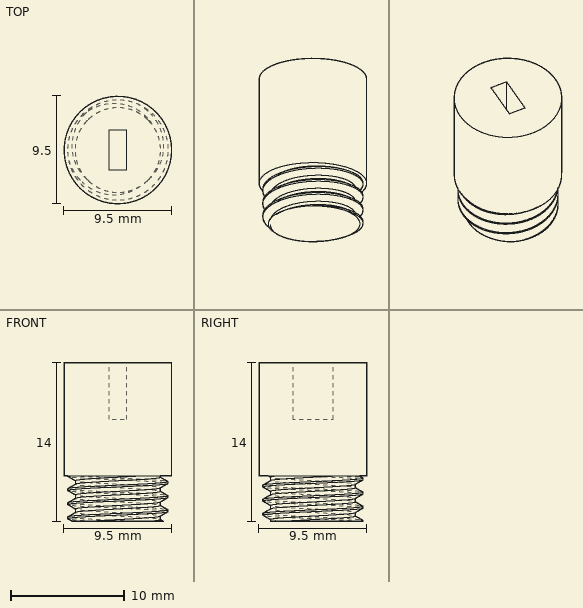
import cadquery as cq
import math

total_height = 14.0
head_diameter = 9.5
thread_height = 4.0
thread_diameter = 8.86
pitch = 1.25
slot_width = 1.54
slot_length = 3.53
slot_depth = 5.0
groove_overrun = 0.07
head_overlap = 0.42

crest_width = pitch / 8
root_gap = pitch / 4
flank_slope = math.tan(math.radians(30))
thread_depth = (pitch - crest_width - root_gap) / 2 / flank_slope
crest_radius = thread_diameter / 2
core_radius = crest_radius - thread_depth
first_root_z = pitch / 4


def make_groove():
    """Right-handed helical groove that starts below and ends above the threaded end."""
    start_z = first_root_z - pitch
    turns = math.ceil(thread_height / pitch) + 2
    outer_radius = crest_radius + groove_overrun
    half_root = root_gap / 2
    half_mouth = half_root + (outer_radius - core_radius) * flank_slope
    path = cq.Wire.makeHelix(pitch, turns * pitch, core_radius, center=cq.Vector(0, 0, start_z))
    profile = (
        cq.Workplane("XZ")
        .polyline([
            (core_radius, start_z - half_root),
            (outer_radius, start_z - half_mouth),
            (outer_radius, start_z + half_mouth),
            (core_radius, start_z + half_root),
        ])
        .close()
    )
    return profile.sweep(cq.Workplane(obj=path), isFrenet=True)


def make_threaded_end():
    """Cylinder at the crest diameter with the thread groove cut into it."""
    blank = cq.Workplane("XY").circle(crest_radius).extrude(thread_height + head_overlap)
    return blank.cut(make_groove())


def make_head():
    """Plain cylinder with a blind rectangular slot in its top face."""
    return (
        cq.Workplane("XY")
        .workplane(offset=thread_height)
        .circle(head_diameter / 2)
        .extrude(total_height - thread_height)
        .faces(">Z")
        .workplane()
        .rect(slot_width, slot_length)
        .cutBlind(-slot_depth)
    )


result = make_head().union(make_threaded_end())